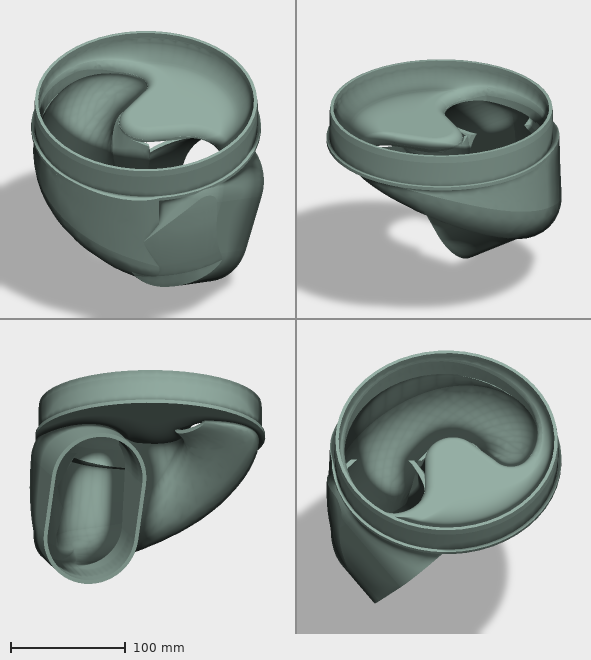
import cadquery as cq
import math

collar_diameter = 194.9
bore_diameter = 188.0
flange_diameter = 200.3
collar_height = 31.0
flange_height = 3.0
rim_band = 5.9
rim_taper = 0.6
floor_height = 10.1
floor_round = 15.6
wall = (collar_diameter - bore_diameter) / 2

lip_radius = 8.7
nose_radius = 24.3
nose_x, nose_y = -2.5, 5.0
nose_exit_angle = 43.0

bowl_radius = 102.6
bowl_rim_radius = 99.0
bowl_x = 3.0
bowl_bulge_depth = 40.5
bowl_top = 3.0
cavity_top = 1.2

ramp_angle = 180.0
ramp_depth = 35.3
drop_per_degree = 0.558
outer_lean = 2.0
least_depth = 6.0
bottom_round = 0.9
channel_stations = [
    (118.0, 31.5, 69.0, 1.0),
    (150.0, 29.5, 93.3, 2.0),
    (180.0, 27.0, 95.3, 4.0),
    (225.0, 26.0, 99.4, 8.1),
    (270.0, 28.0, bowl_radius, 12.2),
    (310.0, 31.5, bowl_radius, 10.1),
]

pipe_width = 85.2
pipe_height = 135.0
pipe_slope = 30.0
pipe_reach = 111.5
pipe_end = cq.Vector(56.0, 21.3, -76.0)
heel_round = 38.5


def disc(diameter, height):
    return cq.Workplane("XY").circle(diameter / 2).extrude(height)


def cup_outside():
    band = disc(collar_diameter, collar_height).faces(">Z").chamfer(rim_band, rim_taper)
    return band.union(disc(flange_diameter, flange_height))


def cup_inside():
    bore = disc(bore_diameter, collar_height).translate((0, 0, floor_height))
    return bore.faces("<Z").edges().fillet(floor_round)


def opening():
    exit_turn = math.radians(nose_exit_angle)
    nose_exit = (
        nose_x + nose_radius * math.sin(exit_turn),
        nose_y - nose_radius * math.cos(exit_turn),
    )
    nose_left = nose_x - nose_radius
    right_end = (83.5, -14.2)
    return (
        cq.Workplane("XY")
        .moveTo(*right_end)
        .threePointArc((-3.0, -92.7), (-87.2, 18.3))
        .tangentArcPoint((-43.2, 53.1), relative=False)
        .tangentArcPoint((nose_left, 34.5), relative=False)
        .lineTo(nose_left, nose_y)
        .tangentArcPoint(nose_exit, relative=False)
        .lineTo(35.5, 6.0)
        .tangentArcPoint((55.5, 13.2), relative=False)
        .tangentArcPoint(right_end, relative=False)
        .close()
        .extrude(collar_height)
    )


def is_lip(edge):
    """True for the upper edges of the opening, on the floor or on the round around it."""
    middle = edge.Center()
    on_floor = abs(middle.z - floor_height) < 0.02
    floor_rim = edge.geomType() == "CIRCLE" and edge.radius() > bore_diameter / 2 - floor_round - 0.2
    on_round = edge.geomType() == "BSPLINE" and middle.z > floor_height
    return on_round or (on_floor and not floor_rim)


def cup():
    blank = cup_outside().cut(cup_inside()).cut(opening())
    lip = [edge for edge in blank.edges().vals() if is_lip(edge)]
    return blank.newObject(lip).fillet(lip_radius)


def channel_section(angle, inner, outer, inner_lean, top, inset):
    """U-shaped wire across the channel with an elliptical bottom; inset moves it in by the wall."""
    turn = math.radians(angle)
    outward = cq.Vector(math.cos(turn), math.sin(turn), 0)
    side = (outer - inner) / 2 - inset
    depth = ramp_depth + drop_per_degree * (angle - ramp_angle)
    bottom = max(depth, least_depth) - inset
    round_depth = min(side, bottom_round * bottom)
    round_top = round_depth - bottom
    plane = cq.Plane(outward * ((inner + outer) / 2), outward, outward.cross(cq.Vector(0, 0, 1)))
    outline = (
        cq.Workplane(plane)
        .moveTo(side - outer_lean, top)
        .lineTo(-side - inner_lean, top)
        .lineTo(-side, round_top)
        .ellipseArc(side, round_depth, 180, 360, sense=1)
        .close()
    )
    return outline.val()


def channel(top, inset):
    sections = [channel_section(*station, top, inset) for station in channel_stations]
    return cq.Workplane(cq.Solid.makeLoft(sections))


def bowl_wall(top, inset):
    """Solid barrel, widest at the bulge and reaching well below the pipe."""
    rim = bowl_rim_radius - inset
    barrel_end = -2 * bowl_bulge_depth - top
    return (
        cq.Workplane("XZ", origin=(bowl_x, 0, 0))
        .moveTo(0, top)
        .lineTo(rim, top)
        .threePointArc((bowl_radius - inset, -bowl_bulge_depth), (rim, barrel_end))
        .lineTo(rim, -flange_diameter)
        .lineTo(0, -flange_diameter)
        .close()
        .revolve()
    )


def elbow(top, inset):
    """Obround tube run back into the bowl, round at its heel, trimmed by the bowl wall and floor."""
    slope = math.radians(pipe_slope)
    pipe_axis = cq.Vector(0, math.cos(slope), -math.sin(slope))
    heel = pipe_end - pipe_axis * (pipe_reach - inset)
    tube = (
        cq.Workplane(cq.Plane(heel, (1, 0, 0), pipe_axis))
        .slot2D(pipe_height - 2 * inset, pipe_width - 2 * inset, 90)
        .extrude(pipe_reach - inset)
        .faces(cq.selectors.DirectionMinMaxSelector(pipe_axis, False))
        .edges()
        .fillet(heel_round - inset)
    )
    return tube.intersect(bowl_wall(top, inset))


outside = cup().union(channel(bowl_top, 0)).union(elbow(bowl_top, 0))
result = outside.cut(opening()).cut(channel(cavity_top, wall)).cut(elbow(cavity_top, wall))